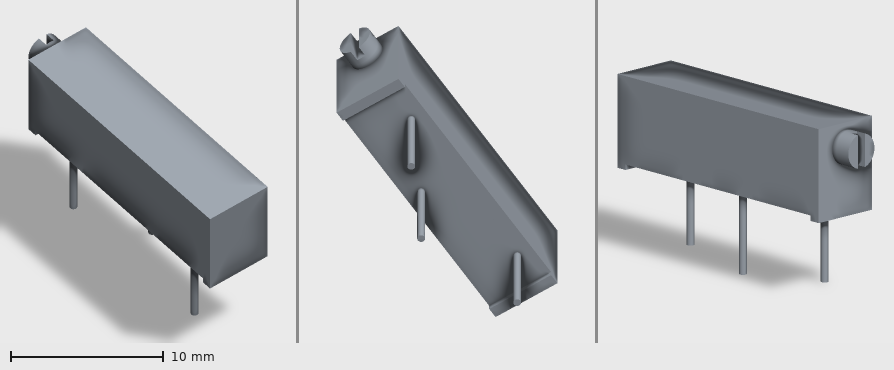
import cadquery as cq

total_length = 20.57
shaft_length = 1.52
body_length = total_length - shaft_length
body_width = 4.83
body_height = 6.38
foot_length = 0.76
foot_height = 0.37

shaft_diameter = 2.37
shaft_drop = 1.65
slot_width = 0.64
slot_depth = 0.76

total_height = 11.68
pin_diameter = 0.51
pin_length = total_height - body_height + foot_height
pin_pitch = 2.54
first_pin_x = 3.3
pin_row_y = pin_pitch / 2
pin_positions = [
    (first_pin_x, -pin_row_y),
    (first_pin_x + 2 * pin_pitch, pin_row_y),
    (first_pin_x + 5 * pin_pitch, -pin_row_y),
]


def make_housing():
    """Block standing on a foot at each end, with its left face at X = 0."""
    block = cq.Workplane("XY").box(body_length, body_width, body_height, centered=(False, True, False))
    recess = (
        cq.Workplane("XY")
        .box(body_length - 2 * foot_length, body_width, foot_height, centered=(False, True, False))
        .translate((foot_length, 0, 0))
    )
    return block.cut(recess)


def make_shaft():
    """Round shaft along -X with a vertical screwdriver slot in its end."""
    shaft = cq.Workplane("YZ").circle(shaft_diameter / 2).extrude(-shaft_length)
    slot = (
        cq.Workplane("XY")
        .box(slot_depth, slot_width, shaft_diameter, centered=(False, True, True))
        .translate((-shaft_length, 0, 0))
    )
    return shaft.cut(slot).translate((0, 0, body_height - shaft_drop))


def make_pins():
    """Round pins hanging from the recessed underside."""
    return (
        cq.Workplane("XY", origin=(0, 0, foot_height))
        .pushPoints(pin_positions)
        .circle(pin_diameter / 2)
        .extrude(-pin_length)
    )


result = make_housing().union(make_shaft()).union(make_pins())